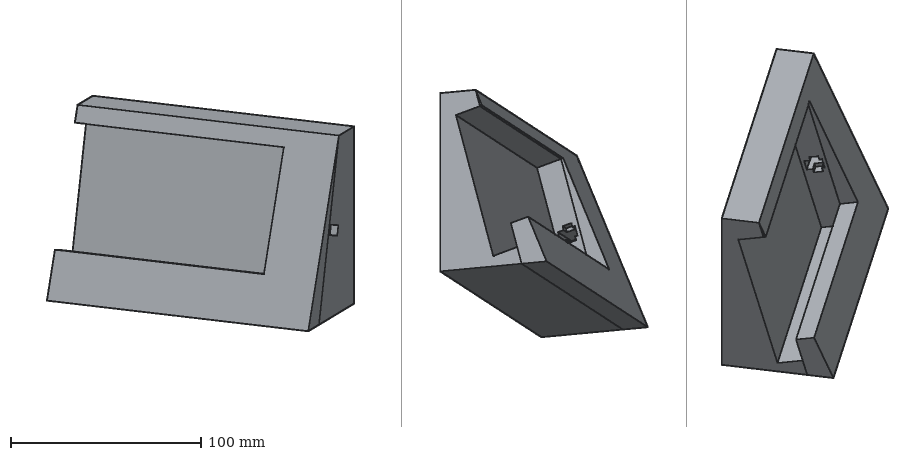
import cadquery as cq
import math

LENGTH = 150.0
BASE_DEPTH = 59.8
TOP_DEPTH = 20.0
HEIGHT = 96.6

TILT = 15.0
SPLIT_DEPTH = TOP_DEPTH + HEIGHT * math.tan(math.radians(TILT))

POCKET_LENGTH = 120.0
POCKET_TOP = 9.5
POCKET_HEIGHT = 81.0
POCKET_DEPTH = 14.0
POCKET_BOTTOM = POCKET_TOP + POCKET_HEIGHT
POCKET_MIDDLE = POCKET_TOP + POCKET_HEIGHT / 2

LIP_HEIGHT = 13.8
WINDOW_BOTTOM = POCKET_BOTTOM - LIP_HEIGHT
WINDOW_REACH = 30.0

PASSAGE_WIDTH = 9.9
PASSAGE_HEIGHT = 5.5
NOTCH_WIDTH = 5.1
NOTCH_HEIGHT = 9.9
NOTCH_DEPTH = 5.0
NOTCH_SHIFT = 0.9

tilted = cq.Plane(
    origin=(0, -TOP_DEPTH, HEIGHT),
    xDir=(1, 0, 0),
    normal=(0, -math.cos(math.radians(TILT)), math.sin(math.radians(TILT))),
)


def prism(profile):
    """Extrude a (Y, Z) profile along the full length."""
    return cq.Workplane("YZ").polyline(profile).close().extrude(LENGTH)


def tilted_box(start, end, top, bottom, inner, outer):
    """Box aligned with the tilted plane, spanning start to end in X."""
    return (
        cq.Workplane(tilted)
        .workplane(offset=inner)
        .moveTo(start, -top)
        .lineTo(end, -top)
        .lineTo(end, -bottom)
        .lineTo(start, -bottom)
        .close()
        .extrude(outer - inner)
    )


def end_cut(length, width, height, middle):
    """Cut of given length into the closed end, centred on the pocket height."""
    return tilted_box(
        POCKET_LENGTH,
        POCKET_LENGTH + length,
        POCKET_MIDDLE - height / 2,
        POCKET_MIDDLE + height / 2,
        middle - width / 2,
        middle + width / 2,
    )


def make_back_block():
    block = prism([(0, 0), (0, HEIGHT), (-TOP_DEPTH, HEIGHT), (-SPLIT_DEPTH, 0)])
    pocket = tilted_box(0, POCKET_LENGTH, POCKET_TOP, POCKET_BOTTOM, -POCKET_DEPTH, 0)
    passage_middle = -POCKET_DEPTH / 2
    passage = end_cut(LENGTH - POCKET_LENGTH, PASSAGE_WIDTH, PASSAGE_HEIGHT, passage_middle)
    notch = end_cut(NOTCH_DEPTH, NOTCH_WIDTH, NOTCH_HEIGHT, passage_middle + NOTCH_SHIFT)
    return block.cut(pocket).cut(passage).cut(notch)


def make_front_cover():
    cover = prism([(-TOP_DEPTH, HEIGHT), (-SPLIT_DEPTH, 0), (-BASE_DEPTH, 0)])
    window = tilted_box(0, POCKET_LENGTH, POCKET_TOP, WINDOW_BOTTOM, 0, WINDOW_REACH)
    return cover.cut(window)


back_block = make_back_block()
front_cover = make_front_cover()

result = cq.Compound.makeCompound([back_block.val(), front_cover.val()])